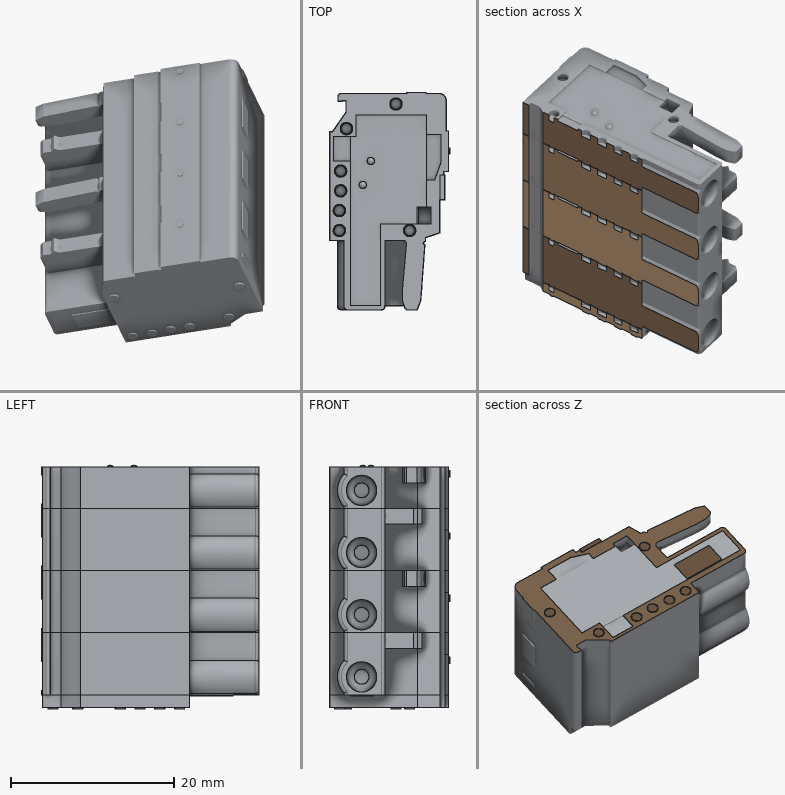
import cadquery as cq
import math


end_plate_height = 1.55
module_pitch = 7.63
top_module_height = 5.08
pole_count = 4
stack_height = end_plate_height + (pole_count - 1) * module_pitch + top_module_height

front_y = 8.52
back_y = 26.6
upper_left_x = 2.0
shoulder_start = (0.35, 21.9)
shoulder_end_y = 24.3
lower_left_top_y = 21.9
right_wall_x = 13.52
shelf_x = 14.03
shelf_y = 16.55
step_x = 14.6
step_bottom_y = 17.0
step_top_y = 21.98
upper_right_x = 14.33
slope_start_x = 10.77
slope_end_y = 9.45
back_corner_radius = 0.95
hook_corner_radius = 0.45
plate_corner_radius = 0.1

hook_tip_x = 1.02
hook_inner_x = 1.53
hook_tip_y = 25.6
hook_under_y = 25.65

column_left_x = 1.75
column_right_x = 6.8
column_edge_radius = 0.45
entry_x = 3.92
entry_z = 2.2
tube_radius = 2.95
tube_edge_radius = 0.48
entry_diameter = 3.7
entry_depth = 1.25
funnel_diameter = 1.8
funnel_depth = 0.9

tongue_thickness = 1.95
latch_root_radius = 0.45
latch_root_x = 9.42
key_front_y = 0.5
key_front_x = 10.3
key_side_x = 10.77
key_barb_x = 11.3
key_chamfer = key_side_x - key_front_x
key_barb_start_y = 2.0
key_barb_size = key_barb_x - key_side_x

peg_places = [
    (8.15, 25.27), (2.05, 22.25), (1.35, 17.05), (1.35, 14.63), (1.2, 12.2), (1.2, 9.75), (9.8, 9.75),
]
peg_diameter = 1.25
peg_height = 0.18
peg_hole_diameter = 1.3
peg_hole_depth = 0.9
peg_hole_chamfer = 0.12

recess_left_x = 2.55
recess_upper_left_x = 3.25
recess_right_x = 11.9
recess_leg_x = 6.22
recess_front_y = 0.55
recess_leg_top_y = 10.53
recess_shoulder_y = 21.27
recess_back_y = 23.93
recess_depth = 0.15
left_pocket_x = 0.45
left_pocket_front_y = 18.28
right_pocket_x = 13.67
right_pocket_narrow_x = 12.9
right_pocket_back_y = 21.55
right_pocket_bend_y = 18.13
right_pocket_front_y = 15.97
pocket_depth = 0.3
well_x = 10.7
well_right_x = 12.4
well_ledge_width = 0.18
well_length = 2.1
well_straight_depth = 1.2

back_pad_left_x = 9.45
back_pad_right_x = 11.85
back_pad_height = 0.12
back_gap_bottom = 0.55
back_gap_top = 4.13
under_pad_left_x = 2.6
under_pad_right_x = 5.38
under_pad_front_y = 3.2
under_pad_height = 0.12
nub_diameter = 0.78
nub_height = 0.15
nub_y = 19.5
nub_z = 4.25
step_ledge_z = 4.97
step_ledge_setback = 0.12

strip_outer_x = 14.15
strip_bottom_y = 13.52
pin_places = [(5.05, 18.28), (4.07, 15.35)]
pin_radius = 0.45
pin_dome_height = 0.35
pin_seat_depth = 0.6


def box_between(x0, x1, y0, y1, z0, z1):
    """Box given by its limits along each axis."""
    return cq.Workplane("XY").box(x1 - x0, y1 - y0, z1 - z0, centered=False).translate((x0, y0, z0))


def prism(points, bottom, height):
    """Upright prism on a closed outline."""
    return cq.Workplane("XY").workplane(offset=bottom).polyline(points).close().extrude(height)


def y_cylinder(diameter, y_start, length):
    """Cylinder along +Y on the axis of the wire entry."""
    plane = cq.Plane(origin=(entry_x, y_start, entry_z), xDir=(1, 0, 0), normal=(0, 1, 0))
    return cq.Workplane(plane).circle(diameter / 2).extrude(length)


def round_edge(body, x, y, height, radius):
    """Fillet on the upright edge nearest to (x, y)."""
    return body.edges(cq.NearestToPointSelector((x, y, height / 2))).fillet(radius)


def plate_body(height):
    """Block with the common outline, without the hook and the wire entry column."""
    outline = [
        (0, front_y),
        (slope_start_x, front_y),
        (right_wall_x, slope_end_y),
        (right_wall_x, shelf_y),
        (shelf_x, shelf_y),
        (shelf_x, step_bottom_y),
        (step_x, step_bottom_y),
        (step_x, step_top_y),
        (upper_right_x, step_top_y),
        (upper_right_x, back_y),
        (upper_left_x, back_y),
        (upper_left_x, shoulder_end_y),
        shoulder_start,
        (0, lower_left_top_y),
    ]
    body = prism(outline, 0, height)
    return round_edge(body, upper_right_x, back_y, height, back_corner_radius)


def add_pegs(body):
    """Round pegs on the underside."""
    pegs = cq.Workplane("XY").pushPoints(peg_places).circle(peg_diameter / 2).extrude(-peg_height)
    return body.union(pegs)


def cut_peg_holes(body, height):
    """Chamfered blind holes in the top."""
    top = cq.Workplane("XY").workplane(offset=height)
    holes = top.pushPoints(peg_places).circle(peg_hole_diameter / 2).extrude(-peg_hole_depth)
    rims = (
        top.pushPoints(peg_places)
        .circle(peg_hole_diameter / 2 + peg_hole_chamfer)
        .extrude(-peg_hole_chamfer, taper=45)
    )
    return body.cut(holes).cut(rims)


def hook(height):
    """Overhanging lip at the back left corner."""
    outline = [
        (upper_left_x, hook_under_y),
        (hook_inner_x, hook_under_y),
        (hook_inner_x, hook_tip_y),
        (hook_tip_x, hook_tip_y),
        (hook_tip_x, back_y),
        (upper_left_x, back_y),
    ]
    lip = prism(outline, 0, height)
    return round_edge(lip, hook_tip_x, back_y, height, hook_corner_radius)


def entry_column(height):
    """Column in front of the block, with the round wire entry tube bulging from its left side."""
    column = box_between(column_left_x, column_right_x, 0, front_y, 0, height)
    column = column.edges("|Z and <Y").fillet(column_edge_radius)
    tube = y_cylinder(2 * tube_radius, 0, front_y).faces("<Y").edges().fillet(tube_edge_radius)
    tube = tube.intersect(box_between(0, entry_x, 0, front_y, 0, height))
    return column.union(tube)


def wire_entry():
    """Round entry narrowing to a flat-bottomed funnel."""
    bore = y_cylinder(entry_diameter, 0, entry_depth)
    axis_start = cq.Vector(entry_x, entry_depth, entry_z)
    funnel = cq.Solid.makeCone(
        entry_diameter / 2, funnel_diameter / 2, funnel_depth, axis_start, cq.Vector(0, 1, 0)
    )
    return bore.union(cq.Workplane(funnel))


def latch_arm(height):
    """Tapered latch arm with a notched root, flush with the top of the module."""
    root_arc_middle = latch_root_radius * math.sqrt(0.5)
    root_centre_x = latch_root_x - latch_root_radius
    root_centre_y = front_y - latch_root_radius
    tip_and_outer_side = [
        (8.95, 2.6),
        (8.95, 1.17),
        (9.2, 0.25),
        (9.45, 0),
        (10.75, 0),
        (11.2, 1.15),
        (11.7, 8.02),
        (11.43, 8.2),
        (11.78, 8.45),
        (11.78, slope_end_y),
        (root_centre_x, slope_end_y),
    ]
    arm = (
        cq.Workplane("XY")
        .workplane(offset=height - tongue_thickness)
        .moveTo(root_centre_x, front_y)
        .threePointArc(
            (root_centre_x + root_arc_middle, root_centre_y + root_arc_middle),
            (latch_root_x, root_centre_y),
        )
    )
    for point in tip_and_outer_side:
        arm = arm.lineTo(*point)
    return arm.close().extrude(tongue_thickness)


def coding_key(height):
    """Flat barbed tongue beside the column, flush with the top of the module."""
    barb_tip_y = key_barb_start_y + key_barb_size
    outline = [
        (column_right_x, key_front_y),
        (key_front_x, key_front_y),
        (key_side_x, key_front_y + key_chamfer),
        (key_side_x, key_barb_start_y),
        (key_barb_x, barb_tip_y),
        (key_side_x, barb_tip_y + key_barb_size),
        (key_side_x, front_y),
        (column_right_x, front_y),
    ]
    return prism(outline, height - tongue_thickness, tongue_thickness)


def top_recess(height):
    """Shallow recess in the top with a slightly deeper pocket on each side."""
    main = [
        (recess_left_x, recess_front_y),
        (recess_leg_x, recess_front_y),
        (recess_leg_x, recess_leg_top_y),
        (recess_right_x, recess_leg_top_y),
        (recess_right_x, recess_back_y),
        (recess_upper_left_x, recess_back_y),
        (recess_upper_left_x, recess_shoulder_y),
        (recess_left_x, recess_shoulder_y),
    ]
    right = [
        (recess_right_x, right_pocket_front_y),
        (right_pocket_narrow_x, right_pocket_front_y),
        (right_pocket_x, right_pocket_bend_y),
        (right_pocket_x, right_pocket_back_y),
        (recess_right_x, right_pocket_back_y),
    ]
    left_pocket = box_between(
        left_pocket_x, recess_left_x, left_pocket_front_y, recess_shoulder_y, height - pocket_depth, height
    )
    return (
        prism(main, height - recess_depth, recess_depth)
        .union(prism(right, height - pocket_depth, pocket_depth))
        .union(left_pocket)
    )


def rounded_well(height):
    """Rectangular well with a half-round bottom across X and a ledge along its left side."""
    floor_axis_z = height - well_straight_depth
    shaft = box_between(
        well_x, well_right_x, recess_leg_top_y, recess_leg_top_y + well_length, floor_axis_z, height
    )
    bottom = (
        cq.Workplane("YZ", origin=(well_x + well_ledge_width, recess_leg_top_y + well_length / 2, floor_axis_z))
        .circle(well_length / 2)
        .extrude(well_right_x - well_x - well_ledge_width)
    )
    return shaft.union(bottom)


def back_pads(height):
    """Thin pads on the back wall, below and above a gap."""
    pads = box_between(
        back_pad_left_x, back_pad_right_x, back_y, back_y + back_pad_height, 0, height
    )
    gap = box_between(
        back_pad_left_x, back_pad_right_x, back_y, back_y + back_pad_height, back_gap_bottom, back_gap_top
    )
    return pads.cut(gap)


def side_nub():
    """Round nub on the right side."""
    return (
        cq.Workplane("YZ", origin=(step_x, nub_y, nub_z)).circle(nub_diameter / 2).extrude(nub_height)
    )


def pole_module(height, front_tongue):
    """One pole housing with its underside at Z = 0."""
    under_pad = box_between(
        under_pad_left_x, under_pad_right_x, under_pad_front_y, front_y, -under_pad_height, 0
    )
    body = plate_body(height)
    for addition in (
        hook(height),
        entry_column(height),
        front_tongue(height),
        back_pads(height),
        side_nub(),
        under_pad,
    ):
        body = body.union(addition)
    body = add_pegs(body)
    for hollow in (wire_entry(), top_recess(height), rounded_well(height)):
        body = body.cut(hollow)
    if height == module_pitch:
        ledge_back_y = step_bottom_y + step_ledge_setback
        body = body.cut(box_between(shelf_x, step_x, step_bottom_y, ledge_back_y, step_ledge_z, height))
    return cut_peg_holes(body, height)


def end_plate():
    """Closing plate under the lowest module."""
    plate = plate_body(end_plate_height)
    plate = round_edge(plate, upper_left_x, back_y, end_plate_height, plate_corner_radius)
    return cut_peg_holes(add_pegs(plate), end_plate_height)


def marker_strip():
    """Flat strip along the right wall over the whole stack."""
    return box_between(right_wall_x, strip_outer_x, strip_bottom_y, shelf_y, 0, stack_height)


def domed_pin():
    """Short round pin with a domed head that starts at Z = 0, turned from half its profile."""
    sphere_radius = (pin_radius**2 + pin_dome_height**2) / (2 * pin_dome_height)
    sphere_centre_z = pin_dome_height - sphere_radius
    arc_angle = math.acos(-sphere_centre_z / sphere_radius) / 2
    arc_middle = (sphere_radius * math.sin(arc_angle), sphere_centre_z + sphere_radius * math.cos(arc_angle))
    return (
        cq.Workplane("XZ")
        .moveTo(0, -pin_seat_depth)
        .lineTo(pin_radius, -pin_seat_depth)
        .lineTo(pin_radius, 0)
        .threePointArc(arc_middle, (0, pin_dome_height))
        .close()
        .revolve(360, (0, 0, 0), (0, 1, 0))
    )


pin_floor_z = stack_height - recess_depth
pins = [domed_pin().translate((x, y, pin_floor_z)) for x, y in pin_places]

modules = []
for index in range(pole_count):
    is_top = index == pole_count - 1
    height = top_module_height if is_top else module_pitch
    tongue = latch_arm if index % 2 else coding_key
    module = pole_module(height, tongue).translate((0, 0, end_plate_height + index * module_pitch))
    if is_top:
        for pin in pins:
            module = module.cut(pin)
    modules.append(module)

result = cq.Compound.makeCompound(
    [end_plate().val(), marker_strip().val()]
    + [module.val() for module in modules]
    + [pin.val() for pin in pins]
)